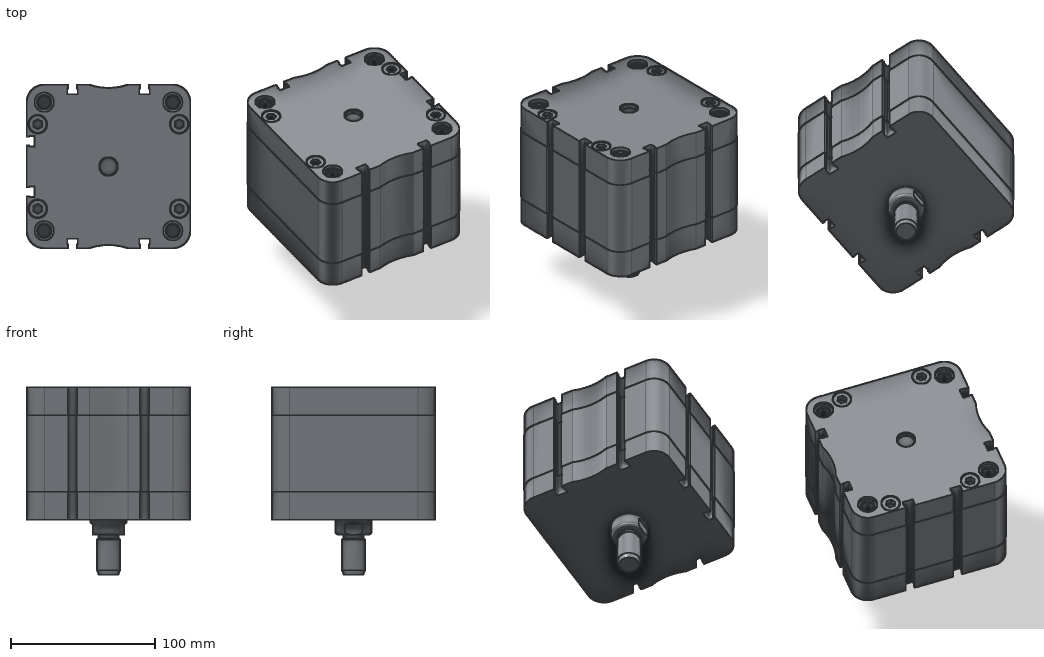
import cadquery as cq
import math

width = 113.5
body_length = 92.0
cap_thickness = 19.5
barrel_length = body_length - 2 * cap_thickness
corner_radius = 12.25
cap_inset = 0.25

slot_neck_width = 5.9
slot_channel_width = 7.0
side_slot_offset = 24.95
side_slot_neck_depth = 3.0
side_slot_depth = 6.6
end_slot_offset = 17.5
end_slot_neck_depth = 2.0
end_slot_depth = 5.4

hollow_width = 26.9
hollow_depth = 2.25

mount_offset = 44.5
mount_counterbore_diameter = 13.5
mount_counterbore_depth = 2.7
mount_thread_entry_diameter = 10.11
mount_thread_diameter = 8.38
mount_thread_entry_depth = (mount_thread_entry_diameter - mount_thread_diameter) / 2
mount_hole_depth = 16.0

screw_offset_x = 49.0
screw_offset_y = 29.3
screw_recess_diameter = 13.1
screw_recess_depth = 6.0
screw_head_diameter = 12.7
screw_head_setback = 0.5
screw_head_chamfer = 0.3
socket_across_flats = 6.0
socket_depth = 5.0

centre_hole_diameter = 12.0
centre_hole_entry_diameter = 13.1
centre_hole_depth = 3.5

rod_diameter = 25.0
rod_projection = 10.2
rod_end_radius = 2.0
flat_across = 22.0
flat_start = 3.0
neck_diameter = 14.0
neck_length = 2.4
stud_diameter = 16.0
stud_end = 38.0
stud_tip_diameter = 13.5
stud_tip_length = 3.3

half_width = width / 2
mount_points = [(sx * mount_offset, sy * mount_offset) for sx in (-1, 1) for sy in (-1, 1)]
screw_points = [(sx * screw_offset_x, sy * screw_offset_y) for sx in (-1, 1) for sy in (-1, 1)]


def slot_cutter(length, neck_depth, depth):
    """T-shaped prism that enters from the +Y face at X = 0."""
    neck = cq.Workplane("XY").box(slot_neck_width, 2 * neck_depth, length, centered=(True, True, False))
    channel = cq.Workplane("XY").box(
        slot_channel_width, depth - neck_depth, length, centered=(True, False, False)
    )
    return neck.union(channel.translate((0, -depth, 0))).translate((0, half_width, 0))


def hollow_cutter(length):
    """Cylinder that leaves the hollow in the +Y face."""
    radius = ((hollow_width / 2) ** 2 + hollow_depth**2) / (2 * hollow_depth)
    return cq.Workplane("XY").center(0, half_width - hollow_depth + radius).circle(radius).extrude(length)


def profile_block(length):
    """Prism with the barrel's cross-section, standing on Z = 0."""
    block = cq.Workplane("XY").box(width, width, length, centered=(True, True, False))
    block = block.edges("|Z").fillet(corner_radius)
    side_slot = slot_cutter(length, side_slot_neck_depth, side_slot_depth)
    end_slot = slot_cutter(length, end_slot_neck_depth, end_slot_depth)
    hollow = hollow_cutter(length)
    for turn in (0, 180):
        block = block.cut(hollow.rotate((0, 0, 0), (0, 0, 1), turn))
        for x in (-side_slot_offset, side_slot_offset):
            block = block.cut(side_slot.translate((x, 0, 0)).rotate((0, 0, 0), (0, 0, 1), turn))
    for x in (-end_slot_offset, end_slot_offset):
        block = block.cut(end_slot.translate((x, 0, 0)).rotate((0, 0, 0), (0, 0, 1), 90))
    return block


def make_barrel():
    return profile_block(barrel_length).translate((0, 0, cap_thickness))


def cap_blank(base):
    """Cap prism, drawn in from the barrel outline all round, standing on Z = base."""
    outline = profile_block(cap_thickness).faces("<Z").wires()
    blank = cq.Workplane("XY").add(outline.vals()).toPending().offset2D(-cap_inset)
    return blank.extrude(cap_thickness).translate((0, 0, base))


def make_front_cap():
    bore = cq.Workplane("XY").circle(rod_diameter / 2).extrude(cap_thickness)
    return cap_blank(0).cut(bore)


def mount_hole():
    """Stepped mounting hole cutter, with its mouth at Z = 0."""
    thread_top = -mount_counterbore_depth
    thread_start = thread_top - mount_thread_entry_depth
    return (
        cq.Workplane("XZ")
        .moveTo(0, 0)
        .lineTo(mount_counterbore_diameter / 2, 0)
        .lineTo(mount_counterbore_diameter / 2, thread_top)
        .lineTo(mount_thread_entry_diameter / 2, thread_top)
        .lineTo(mount_thread_diameter / 2, thread_start)
        .lineTo(mount_thread_diameter / 2, -mount_hole_depth)
        .lineTo(0, -mount_hole_depth)
        .close()
        .revolve(360, (0, 0, 0), (0, 1, 0))
    )


def screw_recess():
    """Cutter for the ring gap, head setback and hexagon socket of one screw, mouth at Z = 0."""
    head_height = screw_recess_depth - screw_head_setback
    head = cq.Workplane("XY").workplane(offset=-screw_recess_depth)
    head = head.circle(screw_head_diameter / 2).extrude(head_height)
    head = head.faces(">Z").edges().chamfer(screw_head_chamfer)
    socket = cq.Workplane("XY").workplane(offset=-screw_head_setback - socket_depth)
    socket = socket.polygon(6, socket_across_flats / math.cos(math.pi / 6)).extrude(socket_depth)
    socket = socket.rotate((0, 0, 0), (0, 0, 1), 30)
    recess = cq.Workplane("XY").circle(screw_recess_diameter / 2).extrude(-screw_recess_depth)
    return recess.cut(head).union(socket)


def centre_hole():
    """Cutter for the chamfered centring hole, with its mouth at Z = 0."""
    chamfer = (centre_hole_entry_diameter - centre_hole_diameter) / 2
    hole = cq.Workplane("XY").circle(centre_hole_diameter / 2).extrude(-centre_hole_depth)
    entry = cq.Workplane("XY").circle(centre_hole_entry_diameter / 2).extrude(-chamfer, taper=45)
    return hole.union(entry)


def make_rear_cap():
    cap = cap_blank(body_length - cap_thickness)
    for x, y in mount_points:
        cap = cap.cut(mount_hole().translate((x, y, body_length)))
    for x, y in screw_points:
        cap = cap.cut(screw_recess().translate((x, y, body_length)))
    return cap.cut(centre_hole().translate((0, 0, body_length)))


def make_piston_rod():
    rod_radius = rod_diameter / 2
    neck_radius = neck_diameter / 2
    stud_radius = stud_diameter / 2
    neck_end = rod_projection + neck_length
    rod = (
        cq.Workplane("XZ")
        .moveTo(0, cap_thickness)
        .lineTo(rod_radius, cap_thickness)
        .lineTo(rod_radius, -rod_projection + rod_end_radius)
        .radiusArc((rod_radius - rod_end_radius, -rod_projection), rod_end_radius)
        .lineTo(neck_radius, -rod_projection)
        .lineTo(neck_radius, -neck_end)
        .lineTo(stud_radius, -neck_end - (stud_radius - neck_radius))
        .lineTo(stud_radius, -stud_end + stud_tip_length)
        .lineTo(stud_tip_diameter / 2, -stud_end)
        .lineTo(0, -stud_end)
        .close()
        .revolve(360, (0, 0, 0), (0, 1, 0))
    )
    flat_inset = rod_radius - flat_across / 2
    flat = (
        cq.Workplane("XZ", origin=(0, rod_radius, 0))
        .moveTo(rod_radius, -flat_start + flat_inset)
        .lineTo(flat_across / 2, -flat_start)
        .lineTo(flat_across / 2, -rod_projection)
        .lineTo(rod_radius, -rod_projection)
        .close()
        .extrude(rod_diameter)
    )
    return rod.cut(flat).cut(flat.mirror("YZ"))


barrel = make_barrel()
front_cap = make_front_cap()
rear_cap = make_rear_cap()
piston_rod = make_piston_rod()

result = cq.Compound.makeCompound([barrel.val(), front_cap.val(), rear_cap.val(), piston_rod.val()])